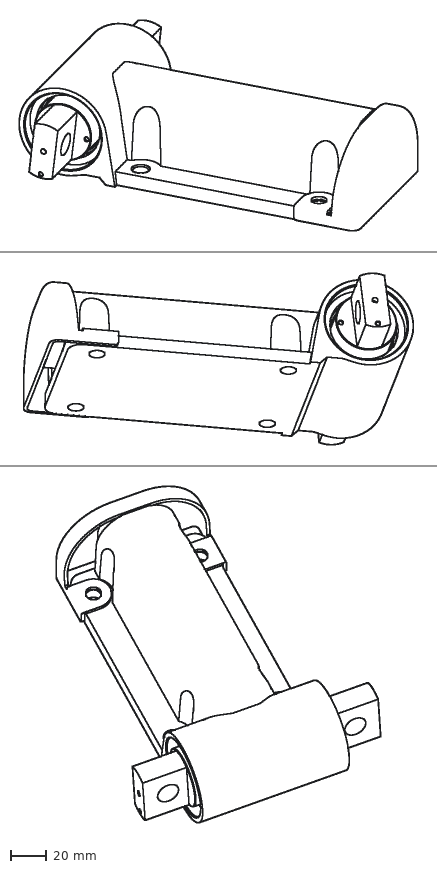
import cadquery as cq
import math


barrel_radius = 27.1
barrel_length = 91.0
bore_radius = 23.5
bore_chamfer = 0.6

foot_x = 32.1
foot_z = -28.4
foot_relief_x = 22.5
foot_relief_z = -24.5
foot_blend_start_x = 8.3
foot_blend_end_x = 13.8

arm_start_x = 12.5
arm_end_x = 168.2
arm_top_z = 23.0
flank_top_z = 1.7
arm_half_width = 24.5
flank_draft = 0.8
shoulder_radius = 22.1

plate_start_x = 27.1
plate_end_x = 170.0
plate_top_z = -20.5
plate_half_width = 43.0
plate_draft = 0.8
plate_corner_radius = 8.0

bolt_x = (42.5, 152.8)
bolt_y = 33.0
bolt_hole_diameter = 9.0
bolt_hole_chamfer = 0.8
bolt_clearance_radius = 12.0

spigot_radius = 19.6
spigot_end_x = 177.0

sleeve_inset = 7.3
sleeve_mouth_radius = 19.6
sleeve_mouth_depth = 5.2
sleeve_inner_radius = 18.4

shaft_radius = 17.5
tang_radius = 17.1
shaft_body_length = 91.6
shaft_length = 146.0
shaft_chamfer = 0.5
tang_thickness = 14.5
tang_tilt = 6.5
tang_hole_diameter = 13.0
tang_hole_inset = 15.0
centre_hole_diameter = 3.1
centre_hole_depth = 4.2
mark_diameter = 2.7
mark_depth = 1.0
mark_radius = 14.8

cap_end_x = 181.5
cap_bottom_z = -27.8
cap_half_width = 45.0
cap_corner_radius = 35.0
cap_wall = 2.0
cap_edge_fillet = 5.2
rim_top_x = 169.3
rim_bottom_x = 165.5
lug_half_length = 10.2
lug_thickness = 1.9
lug_fillet = 1.5
lug_corner_radius = 1.9

barrel_half = barrel_length / 2
bolt_points = [(x, side * bolt_y) for x in bolt_x for side in (-1, 1)]
lug_points = [point for point in bolt_points if point[0] == bolt_x[-1]]


def rod(radius, length):
    """Cylinder on the pivot axis, centred on the origin."""
    return cq.Workplane("XZ").circle(radius).extrude(length / 2, both=True)


def vertical_posts(points, radius, bottom, top):
    """Upright cylinders at the given points."""
    return cq.Workplane("XY").workplane(offset=bottom).pushPoints(points).circle(radius).extrude(top - bottom)


def lead_in(radius, chamfer, mouth, direction):
    """Cone that chamfers the mouth of a hole at 45 degrees."""
    cone = cq.Solid.makeCone(radius + chamfer, radius, chamfer, cq.Vector(*mouth), cq.Vector(*direction))
    return cq.Workplane(cone)


def barrel_with_foot():
    foot_distance = math.hypot(foot_x, foot_z)
    tangent_angle = math.atan2(foot_z, foot_x) + math.acos(barrel_radius / foot_distance)
    tangent_point = (barrel_radius * math.cos(tangent_angle), barrel_radius * math.sin(tangent_angle))
    blend_z = -math.sqrt(barrel_radius**2 - foot_blend_start_x**2)
    step_x = foot_relief_x + (foot_relief_z - foot_z)
    foot = (
        cq.Workplane("XZ")
        .moveTo(0, 0)
        .lineTo(*tangent_point)
        .lineTo(foot_x, foot_z)
        .lineTo(step_x, foot_z)
        .lineTo(foot_relief_x, foot_relief_z)
        .lineTo(foot_blend_end_x, foot_relief_z)
        .lineTo(foot_blend_start_x, blend_z)
        .close()
        .extrude(barrel_half, both=True)
    )
    return rod(barrel_radius, barrel_length).union(foot)


def arm():
    arc_y = arm_half_width - shoulder_radius
    flat_half = arc_y + math.sqrt(shoulder_radius**2 - (arm_top_z - flank_top_z) ** 2)
    mid_angle = math.atan2(arm_top_z - flank_top_z, flat_half - arc_y) / 2
    mid_y = arc_y + shoulder_radius * math.cos(mid_angle)
    mid_z = flank_top_z + shoulder_radius * math.sin(mid_angle)
    root_half = arm_half_width + flank_draft
    return (
        cq.Workplane("YZ", origin=(arm_start_x, 0, 0))
        .moveTo(-root_half, plate_top_z)
        .lineTo(root_half, plate_top_z)
        .lineTo(arm_half_width, flank_top_z)
        .threePointArc((mid_y, mid_z), (flat_half, arm_top_z))
        .lineTo(-flat_half, arm_top_z)
        .threePointArc((-mid_y, mid_z), (-arm_half_width, flank_top_z))
        .close()
        .extrude(arm_end_x - arm_start_x)
    )


def base_plate():
    top_half = plate_half_width - plate_draft
    plate = (
        cq.Workplane("YZ", origin=(plate_start_x, 0, 0))
        .moveTo(-plate_half_width, foot_z)
        .lineTo(plate_half_width, foot_z)
        .lineTo(top_half, plate_top_z)
        .lineTo(-top_half, plate_top_z)
        .close()
        .extrude(plate_end_x - plate_start_x)
    )
    return plate.faces(">X").edges("not #Z").fillet(plate_corner_radius)


def spigot():
    return cq.Workplane("YZ", origin=(arm_end_x, 0, 0)).circle(spigot_radius).extrude(spigot_end_x - arm_end_x)


def make_housing():
    bolt_clearance = vertical_posts(bolt_points, bolt_clearance_radius, plate_top_z, arm_top_z)
    body = arm().cut(bolt_clearance).union(base_plate()).union(spigot()).union(barrel_with_foot())
    body = body.cut(rod(bore_radius, barrel_length))
    for side in (-1, 1):
        body = body.cut(lead_in(bore_radius, bore_chamfer, (0, side * barrel_half, 0), (0, -side, 0)))
    hole_radius = bolt_hole_diameter / 2
    body = body.cut(vertical_posts(bolt_points, hole_radius, foot_z, plate_top_z))
    for x, y in bolt_points:
        body = body.cut(lead_in(hole_radius, bolt_hole_chamfer, (x, y, plate_top_z), (0, 0, -1)))
    return body


def make_sleeve():
    length = barrel_length - 2 * sleeve_inset
    mouths = rod(sleeve_mouth_radius, length).cut(rod(sleeve_mouth_radius, length - 2 * sleeve_mouth_depth))
    return rod(bore_radius, length).cut(rod(sleeve_inner_radius, length)).cut(mouths)


def make_shaft():
    middle = rod(shaft_radius, shaft_body_length).faces("<Y or >Y").edges().chamfer(shaft_chamfer)
    slab = cq.Workplane("XY").box(tang_thickness, shaft_length, 2 * tang_radius)
    shaft = middle.union(rod(tang_radius, shaft_length).intersect(slab))
    for side in (-1, 1):
        hole_y = side * (shaft_length / 2 - tang_hole_inset)
        cross_hole = (
            cq.Workplane("YZ").center(hole_y, 0).circle(tang_hole_diameter / 2).extrude(tang_radius, both=True)
        )
        shaft = shaft.cut(cross_hole)
        end_y = side * shaft_length / 2
        shoulder_y = side * shaft_body_length / 2
        for x, y, z, diameter, depth in (
            (0, end_y, 0, centre_hole_diameter, centre_hole_depth),
            (0, end_y, -mark_radius, mark_diameter, mark_depth),
            (mark_radius, shoulder_y, 0, mark_diameter, mark_depth),
        ):
            drill = cq.Solid.makeCylinder(diameter / 2, depth, cq.Vector(x, y, z), cq.Vector(0, -side, 0))
            shaft = shaft.cut(cq.Workplane(drill))
    return shaft.rotate((0, 0, 0), (0, 1, 0), tang_tilt)


def arch(half_width, top_z, corner_radius, start_x, end_x):
    """Block along X with two rounded upper corners, standing on the cap's bottom level."""
    height = top_z - cap_bottom_z
    block = cq.Workplane("XY").box(end_x - start_x, 2 * half_width, height, centered=(False, True, False))
    block = block.translate((start_x, 0, cap_bottom_z))
    return block.edges("|X and >Z").fillet(corner_radius)


def lug():
    """Tab that lies on the base plate around a bolt, at the -Y side."""
    centre_x = bolt_x[-1]
    straight = cap_half_width - bolt_y
    tab = (
        cq.Workplane("XY", origin=(centre_x, -bolt_y, plate_top_z))
        .moveTo(-lug_half_length, -straight)
        .lineTo(lug_half_length, -straight)
        .lineTo(lug_half_length, 0)
        .threePointArc((0, lug_half_length), (-lug_half_length, 0))
        .close()
        .extrude(lug_thickness)
    )
    return tab.faces("<Y").edges(">Z").fillet(lug_fillet)


def make_cap():
    lug_start_x = bolt_x[-1] - lug_half_length
    shell = arch(cap_half_width, arm_top_z, cap_corner_radius, lug_start_x, cap_end_x)
    shell = shell.faces(">X").edges("not <Z").fillet(cap_edge_fillet)
    cavity = arch(
        cap_half_width - cap_wall,
        arm_top_z - cap_wall,
        cap_corner_radius - cap_wall,
        lug_start_x,
        cap_end_x - cap_wall,
    )
    cavity = cavity.faces(">X").edges("not <Z").fillet(cap_edge_fillet - cap_wall)
    side_outline = (
        cq.Workplane("XZ")
        .moveTo(cap_end_x, cap_bottom_z)
        .lineTo(cap_end_x, arm_top_z)
        .lineTo(rim_top_x, arm_top_z)
        .lineTo(rim_bottom_x, plate_top_z)
        .lineTo(lug_start_x, plate_top_z)
        .lineTo(lug_start_x, cap_bottom_z + lug_corner_radius)
        .radiusArc((lug_start_x + lug_corner_radius, cap_bottom_z), -lug_corner_radius)
        .close()
        .extrude(cap_half_width, both=True)
    )
    near_lug = lug()
    cap = shell.cut(cavity).intersect(side_outline).union(near_lug).union(near_lug.mirror("XZ"))
    return cap.cut(vertical_posts(lug_points, bolt_hole_diameter / 2, plate_top_z, plate_top_z + lug_thickness))


housing = make_housing()
sleeve = make_sleeve()
shaft = make_shaft()
cap = make_cap()

result = cq.Compound.makeCompound([housing.val(), sleeve.val(), shaft.val(), cap.val()])